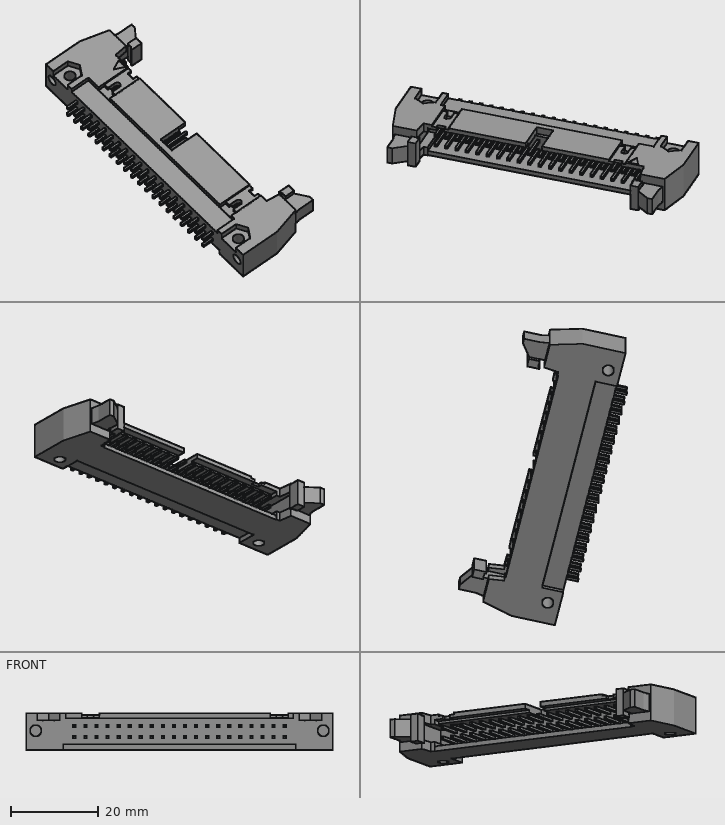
import cadquery as cq
import math


LENGTH = 70.4
HEIGHT = 8.5
MID_Z = HEIGHT / 2
HALF_LENGTH = LENGTH / 2
MOUTH_Y = 13.95
EAR_TOP_Y = 17.4
EAR_TAPER_Y = 10.15
EAR_OUTER_X = 33.25
EAR_INNER_X = 27.35
EAR_ROOT_X = 26.95

PIN_PITCH = 2.54
PINS_PER_ROW = 20
PIN_SIZE = 0.64
PIN_TAIL = 2.9
PIN_TIP_Y = 13.75
PIN_TIP_CHAMFER = 0.1

CAVITY_FLOOR_Y = 7.4
CAVITY_HALF_WIDTH = 26.0
TOP_WALL = 1.75
BOTTOM_WALL = 1.15
BOTTOM_WALL_END_Y = 13.75
RIM_WALL = 1.15
RIM_DEPTH = 1.9

STEP_Y = 5.05
TOP_STEP_DEPTH = 1.15
BOTTOM_STEP_DEPTH = 1.3
TOP_STEP_HALF_WIDTH = 26.05
BOTTOM_STEP_HALF_WIDTH = 26.65

KEY_WIDTH = 4.0
KEY_END_Y = 6.5

RECESS_CENTERS = (-20.4, 22.9)
RECESS_WIDTH = 4.04
RECESS_DEPTH = 0.4
SHELF_Y = 6.75
SHELF_DEPTH = 1.1
NOTCH_WIDTH = 1.95
NOTCH_LENGTH = 1.05
SLOT_WIDTH = 1.5
SLOT_END_Y = 9.7

MOUNT_X = 30.05
MOUNT_Y = 2.9
HOLE_DIAMETER = 2.6
NUT_ACROSS_FLATS = 5.1
NUT_DEPTH = 1.7

END_HOLE_X = 33.0
END_HOLE_Z = 4.45
END_HOLE_DEPTH = 5.0

MARK_X = -24.13
MARK_TOP_Y = 13.55
MARK_WIDTH = 2.45
MARK_LENGTH = 2.6
MARK_DEPTH = 0.1

LATCH_THICKNESS = 4.15
LATCH_TOP_Y = 23.3
LATCH_OUTER_X = 32.4
LATCH_INNER_X = 28.2
LATCH_TIP_X = 31.2
LATCH_SHOULDER_Y = 21.15
LATCH_BEND_Y = 19.2
LATCH_ROOT_X = 32.8
HOOK_HEIGHT = 6.35
HOOK_TIP_X = 26.25
HOOK_BOTTOM_Y = 18.6
HOOK_LIP_Y = 18.25
HOOK_LIP_TIP_WIDTH = 0.4
HOOK_LIP_ROOT_WIDTH = 0.6


def block(x0, x1, y0, y1, z0, z1):
    """Axis-aligned box between two opposite corners."""
    return cq.Workplane("XY").box(x1 - x0, y1 - y0, z1 - z0, centered=False).translate((x0, y0, z0))


def plate(points, z0, z1):
    """Prism of an XY outline between two heights."""
    return cq.Workplane("XY").workplane(offset=z0).polyline(points).close().extrude(z1 - z0)


def mirrored_pair(shape):
    """The shape together with its mirror image across X = 0."""
    return shape.union(shape.mirror("YZ"))


def housing_block():
    half = [
        (HALF_LENGTH, 0),
        (HALF_LENGTH, EAR_TAPER_Y),
        (EAR_OUTER_X, EAR_TOP_Y),
        (EAR_INNER_X, EAR_TOP_Y),
        (EAR_ROOT_X, MOUTH_Y),
    ]
    outline = half + [(-x, y) for x, y in reversed(half)]
    return plate(outline, 0, HEIGHT)


def mating_cavity():
    half = CAVITY_HALF_WIDTH
    inner_top_z = HEIGHT - TOP_WALL
    main = block(-half, half, CAVITY_FLOOR_Y, MOUTH_Y, BOTTOM_WALL, inner_top_z)
    rim_relief = block(-half, half, MOUTH_Y - RIM_DEPTH, MOUTH_Y, inner_top_z, HEIGHT - RIM_WALL)
    bottom_setback = block(-half, half, BOTTOM_WALL_END_Y, MOUTH_Y, 0, BOTTOM_WALL)
    return main.union(rim_relief).union(bottom_setback)


def pin_side_steps():
    top = block(-TOP_STEP_HALF_WIDTH, TOP_STEP_HALF_WIDTH, 0, STEP_Y, HEIGHT - TOP_STEP_DEPTH, HEIGHT)
    bottom = block(-BOTTOM_STEP_HALF_WIDTH, BOTTOM_STEP_HALF_WIDTH, 0, STEP_Y, 0, BOTTOM_STEP_DEPTH)
    return top.union(bottom)


def key_slot():
    return block(-KEY_WIDTH / 2, KEY_WIDTH / 2, KEY_END_Y, MOUTH_Y, HEIGHT - TOP_WALL, HEIGHT)


def strain_relief_recess(x):
    half = RECESS_WIDTH / 2
    channel = block(x - half, x + half, STEP_Y, MOUTH_Y, HEIGHT - RECESS_DEPTH, HEIGHT)
    shelf = block(x - half, x + half, STEP_Y, SHELF_Y, HEIGHT - SHELF_DEPTH, HEIGHT)
    notch = block(x - NOTCH_WIDTH / 2, x + NOTCH_WIDTH / 2, MOUTH_Y - NOTCH_LENGTH, MOUTH_Y, MID_Z, HEIGHT)
    slot_radius = SLOT_WIDTH / 2
    arc_y = SLOT_END_Y - slot_radius
    slot = (
        cq.Workplane("XY")
        .workplane(offset=MID_Z)
        .moveTo(x - slot_radius, CAVITY_FLOOR_Y)
        .lineTo(x - slot_radius, arc_y)
        .threePointArc((x, SLOT_END_Y), (x + slot_radius, arc_y))
        .lineTo(x + slot_radius, CAVITY_FLOOR_Y)
        .close()
        .extrude(MID_Z)
    )
    slot_mouth = block(x - slot_radius, x + slot_radius, SHELF_Y, CAVITY_FLOOR_Y, HEIGHT - SHELF_DEPTH, HEIGHT)
    return channel.union(shelf).union(notch).union(slot).union(slot_mouth)


def mounting_cut():
    across_corners = NUT_ACROSS_FLATS / math.cos(math.pi / 6)
    half_flats = NUT_ACROSS_FLATS / 2
    floor_z = HEIGHT - NUT_DEPTH
    pocket = plate([
        (MOUNT_X - half_flats, 0),
        (MOUNT_X + half_flats, 0),
        (MOUNT_X + half_flats, MOUNT_Y + across_corners / 4),
        (MOUNT_X, MOUNT_Y + across_corners / 2),
        (MOUNT_X - half_flats, MOUNT_Y + across_corners / 4),
    ], floor_z, HEIGHT)
    hole = cq.Workplane("XY").center(MOUNT_X, MOUNT_Y).circle(HOLE_DIAMETER / 2).extrude(HEIGHT)
    end_hole = (
        cq.Workplane("XZ")
        .center(END_HOLE_X, END_HOLE_Z)
        .circle(HOLE_DIAMETER / 2)
        .extrude(-END_HOLE_DEPTH)
    )
    return mirrored_pair(pocket.union(hole).union(end_hole))


def pin_one_mark():
    return plate([
        (MARK_X - MARK_WIDTH / 2, MARK_TOP_Y),
        (MARK_X + MARK_WIDTH / 2, MARK_TOP_Y),
        (MARK_X, MARK_TOP_Y - MARK_LENGTH),
    ], HEIGHT - MARK_DEPTH, HEIGHT)


def latch_opening():
    """Slot in the ear, open toward the middle, in front of the latch arm."""
    half = LATCH_THICKNESS / 2
    return block(CAVITY_HALF_WIDTH, LATCH_INNER_X, CAVITY_FLOOR_Y, EAR_TOP_Y, MID_Z - half, MID_Z + half)


def latch():
    half = LATCH_THICKNESS / 2
    arm = plate([
        (LATCH_INNER_X, EAR_TOP_Y),
        (LATCH_ROOT_X, EAR_TOP_Y),
        (LATCH_OUTER_X, LATCH_BEND_Y),
        (LATCH_OUTER_X, LATCH_TOP_Y),
        (LATCH_TIP_X, LATCH_TOP_Y),
        (LATCH_INNER_X, LATCH_SHOULDER_Y),
    ], MID_Z - half, MID_Z + half)
    hook = plate([
        (LATCH_INNER_X, HOOK_BOTTOM_Y),
        (LATCH_INNER_X, LATCH_SHOULDER_Y),
        (HOOK_TIP_X, LATCH_SHOULDER_Y),
        (HOOK_TIP_X, HOOK_LIP_Y),
        (HOOK_TIP_X + HOOK_LIP_TIP_WIDTH, HOOK_LIP_Y),
        (HOOK_TIP_X + HOOK_LIP_ROOT_WIDTH, HOOK_BOTTOM_Y),
    ], MID_Z - HOOK_HEIGHT / 2, MID_Z + HOOK_HEIGHT / 2)
    return arm.union(hook)


def pins():
    locations = [
        ((i - (PINS_PER_ROW - 1) / 2) * PIN_PITCH, MID_Z + side * PIN_PITCH / 2)
        for i in range(PINS_PER_ROW)
        for side in (-1, 1)
    ]
    return (
        cq.Workplane("XZ", origin=(0, -PIN_TAIL, 0))
        .pushPoints(locations)
        .rect(PIN_SIZE, PIN_SIZE)
        .extrude(-(PIN_TAIL + PIN_TIP_Y))
        .faces("<Y or >Y")
        .chamfer(PIN_TIP_CHAMFER)
    )


housing = housing_block().cut(mating_cavity()).cut(pin_side_steps()).cut(key_slot())
for center_x in RECESS_CENTERS:
    housing = housing.cut(strain_relief_recess(center_x))
housing = housing.cut(mounting_cut()).cut(pin_one_mark()).cut(mirrored_pair(latch_opening()))
housing = housing.union(mirrored_pair(latch()))

result = housing.union(pins())